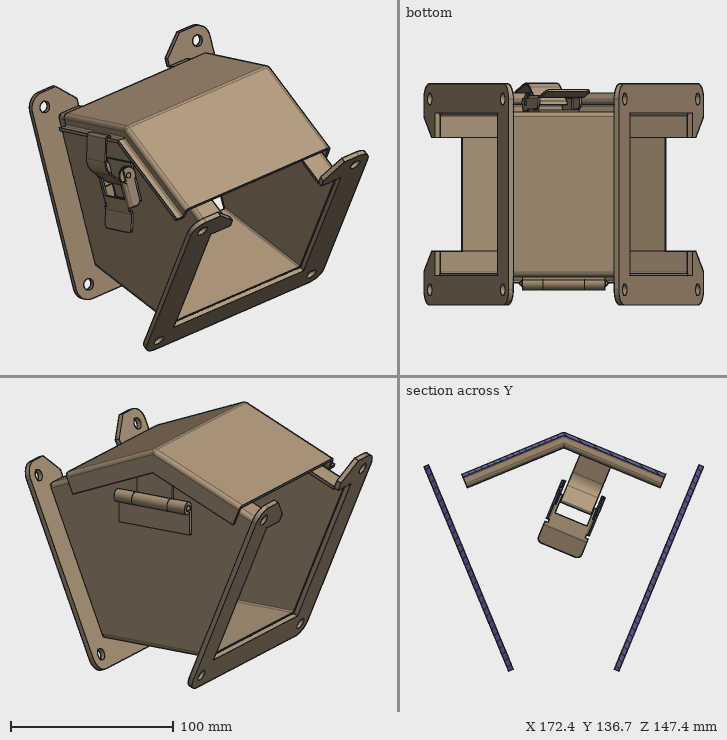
import cadquery as cq
import math


LEG_TILT = 22.5
SIN_TILT = math.sin(math.radians(LEG_TILT))
COS_TILT = math.cos(math.radians(LEG_TILT))
SHEET = 1.9
BEND_INNER = 1.0
BEND_OUTER = BEND_INNER + SHEET
LONG = 200.0

TROUGH_SIZE = 101.6
TROUGH_HALF = TROUGH_SIZE / 2
TROUGH_LIP = 15.875

FLANGE_SIZE = 136.525
FLANGE_HALF = FLANGE_SIZE / 2
FLANGE_THICKNESS = 3.175
FLANGE_OUTER = 65.02
FLANGE_INNER = FLANGE_OUTER - FLANGE_THICKNESS
FLANGE_OPENING_HALF = 50.0
FLANGE_CORNER_RADIUS = 9.525
FLANGE_HOLE_INSET = 9.525
FLANGE_HOLE_DIAMETER = 7.14
FLANGE_TAB_CHAMFER = 12.7
FLANGE_GAP_HALF = TROUGH_HALF - TROUGH_LIP

COVER_TOP = 55.16
COVER_END = 45.3
COVER_LATCH_SIDE = TROUGH_HALF + 6.35
COVER_HINGE_SIDE = TROUGH_HALF + 2 * SHEET
COVER_HINGE_SKIRT_BOTTOM = 41.2
LIP_BOTTOM = 45.85
LIP_SLOPE = math.radians(10)
LIP_REACH = 5.3

HINGE_LENGTH = 50.8
HINGE_KNUCKLE_RADIUS = 4.07
HINGE_LEAF = SHEET
HINGE_AXIS_Y = TROUGH_HALF + HINGE_KNUCKLE_RADIUS
HINGE_AXIS_Z = 26.0
HINGE_PIN_RADIUS = 3.97 / 2
HINGE_PIN_LENGTH = 55.0
HINGE_PIN_CONE = 1.8
HINGE_LEAF_TOP = 46.0
HINGE_LEAF_BOTTOM = 8.0

LATCH_X = -2.0
LEVER_WIDTH = 28.95
LEVER_SHEET = 1.2
LEVER_STANDOFF = 10.2
LEVER_PLATE_TOP = 19.0
LEVER_WALL_BOTTOM = 1.7
LEVER_WALL_STANDOFF = 1.9
LEVER_WALL_CORNER = 3.5
LEVER_BEND = 2.05
LEVER_TAB_TOP = -0.2
LEVER_TAB_BEND = -2.2
LEVER_TAB_BOTTOM = -13.3
LEVER_TAB_CORNER = 3.2
LEVER_TAB_CREASE = 0.2
LEVER_WINDOW_WIDTH = 21.1
LEVER_WINDOW_BOTTOM = 6.95
LATCH_SLOPE = math.radians(18)
PIVOT_STANDOFF = 5.6
PIVOT_Z = 22.0
PIVOT_DIAMETER = 3.17
PIVOT_HOLE_DIAMETER = 3.3
LEVER_EAR_RADIUS = 5.3
BASE_SHEET = 1.2
BASE_TOP = 28.4
BASE_BOTTOM = 3.0
BASE_EAR_RADIUS = PIVOT_STANDOFF
BASE_EAR_BOTTOM = 12.0
STRAP_WIDTH = 20.5
STRAP_SHEET = 0.9
STRAP_BEND_OUTER = 10.0
STRAP_HOOK_BEND = 0.6
STRAP_HOOK_REACH = 3.6
STRAP_LIP_GAP = 0.05
STRAP_APEX_STANDOFF = 17.67
STRAP_APEX_Z = 31.4
STRAP_LOWER_SLOPE = math.radians(40)
STRAP_LOWER_LENGTH = 13.3
STRAP_CURL_SLOPE = math.radians(75)
STRAP_CURL_LENGTH = 2.4
STRAP_CURL_BEND = 0.2


def bent_sheet(plane, path, thickness, inner_radii):
    """Closed outline of a bent sheet: `path` is its left-hand face with sharp corners,
    the other face lies `thickness` to the right, and each inner corner gets a bend."""
    directions = []
    for (x0, y0), (x1, y1) in zip(path, path[1:]):
        length = math.hypot(x1 - x0, y1 - y0)
        directions.append(((x1 - x0) / length, (y1 - y0) / length))

    def right_of(point, direction):
        return (point[0] + thickness * direction[1], point[1] - thickness * direction[0])

    left_arcs = []
    right_arcs = []
    for corner, before, after, inner in zip(path[1:-1], directions, directions[1:], inner_radii):
        turn = math.atan2(before[0] * after[1] - before[1] * after[0],
                          before[0] * after[0] + before[1] * after[1])
        side = math.copysign(1, turn)
        left_radius = inner if side > 0 else inner + thickness
        right_radius = inner + thickness if side > 0 else inner
        setback = left_radius * math.tan(abs(turn) / 2)
        centre = (corner[0] - before[0] * setback - side * before[1] * left_radius,
                  corner[1] - before[1] * setback + side * before[0] * left_radius)
        start_angle = math.atan2(-side * before[0], side * before[1])
        angles = [start_angle, start_angle + turn / 2, start_angle + turn]
        for radius, arcs in ((left_radius, left_arcs), (right_radius, right_arcs)):
            arcs.append([(centre[0] + radius * math.cos(a), centre[1] + radius * math.sin(a))
                         for a in angles])

    outline = cq.Workplane(plane).moveTo(*path[0])
    for start, middle, end in left_arcs:
        outline = outline.lineTo(*start).threePointArc(middle, end)
    outline = outline.lineTo(*path[-1]).lineTo(*right_of(path[-1], directions[-1]))
    for start, middle, end in reversed(right_arcs):
        outline = outline.lineTo(*end).threePointArc(middle, start)
    return outline.lineTo(*right_of(path[0], directions[0])).close()


def on_left_leg(body):
    """Move a body from the leg frame to its place on the left leg."""
    return body.rotate((0, 0, 0), (0, 1, 0), -LEG_TILT)


def leg_point(along, normal):
    """X and Z of a point given in the left leg's frame."""
    return (along * COS_TILT - normal * SIN_TILT, along * SIN_TILT + normal * COS_TILT)


def elbow_prism(inset, overrun, half_width):
    """Five-sided elbow block with its top and floor moved in and its ends moved out."""
    top = TROUGH_HALF - inset
    end_top = leg_point(-FLANGE_INNER - overrun, top)
    floor_z = leg_point(-FLANGE_INNER, -TROUGH_HALF)[1] + inset
    slide = (floor_z - leg_point(-FLANGE_INNER - overrun, 0)[1]) / COS_TILT
    end_floor = leg_point(-FLANGE_INNER - overrun, slide)
    points = [end_floor, end_top, (0, top / COS_TILT),
              (-end_top[0], end_top[1]), (-end_floor[0], end_floor[1])]
    return cq.Workplane("XZ").polyline(points).close().extrude(half_width, both=True)


def round_long_edges(block, radius):
    """Round the edges where the block's sides meet its top and floor."""
    def runs_along_top_or_floor(edge):
        direction = edge.tangentAt(0.5)
        return abs(direction.x) > abs(direction.z) and abs(direction.y) < abs(direction.x)

    edges = [e for e in block.faces("<Y or >Y").edges().vals() if runs_along_top_or_floor(e)]
    return block.newObject(edges).fillet(radius)


def make_trough():
    outside = round_long_edges(elbow_prism(0, 0, TROUGH_HALF), BEND_OUTER)
    cavity = round_long_edges(elbow_prism(SHEET, SHEET, TROUGH_HALF - SHEET), BEND_INNER)
    mouth = cq.Workplane("XY").box(LONG, 2 * FLANGE_GAP_HALF, LONG, centered=(True, True, False))
    return outside.cut(cavity).cut(mouth)


def make_left_flange():
    plate = (
        cq.Workplane("YZ", origin=(-FLANGE_OUTER, 0, 0))
        .rect(FLANGE_SIZE, FLANGE_SIZE)
        .extrude(FLANGE_THICKNESS)
        .edges("|X")
        .fillet(FLANGE_CORNER_RADIUS)
    )
    hole_spacing = FLANGE_SIZE - 2 * FLANGE_HOLE_INSET
    plate = (
        plate.faces("<X").workplane(origin=(-FLANGE_OUTER, 0, 0))
        .rect(hole_spacing, hole_spacing, forConstruction=True)
        .vertices()
        .hole(FLANGE_HOLE_DIAMETER)
    )
    tab_side = FLANGE_HALF - FLANGE_TAB_CHAMFER
    half_opening = [
        (0, -FLANGE_OPENING_HALF),
        (FLANGE_OPENING_HALF, -FLANGE_OPENING_HALF),
        (FLANGE_OPENING_HALF, FLANGE_OPENING_HALF),
        (FLANGE_GAP_HALF, FLANGE_OPENING_HALF),
        (FLANGE_GAP_HALF, tab_side),
        (FLANGE_GAP_HALF + FLANGE_TAB_CHAMFER, FLANGE_HALF),
        (0, FLANGE_HALF),
    ]
    opening = (
        cq.Workplane("YZ", origin=(-FLANGE_OUTER, 0, 0))
        .polyline(half_opening)
        .mirrorY()
        .extrude(FLANGE_THICKNESS)
    )
    return on_left_leg(plate.cut(opening))


LIP_BEND_Y = -COVER_LATCH_SIDE - BEND_INNER
LIP_TIP_Y = -COVER_LATCH_SIDE - LIP_REACH
LIP_CORNER_Y = -COVER_LATCH_SIDE + SHEET
LIP_BEND_Z = LIP_BOTTOM + BEND_OUTER
LIP_CORNER_Z = (LIP_BEND_Z - BEND_OUTER / math.cos(LIP_SLOPE)
                - (LIP_CORNER_Y - LIP_BEND_Y) * math.tan(LIP_SLOPE))
LIP_TIP_Z = LIP_CORNER_Z + (LIP_CORNER_Y - LIP_TIP_Y) * math.tan(LIP_SLOPE)


def make_cover():
    inner_face = [
        (COVER_HINGE_SIDE - SHEET, COVER_HINGE_SKIRT_BOTTOM),
        (COVER_HINGE_SIDE - SHEET, COVER_TOP - SHEET),
        (LIP_CORNER_Y, COVER_TOP - SHEET),
        (LIP_CORNER_Y, LIP_CORNER_Z),
        (LIP_TIP_Y, LIP_TIP_Z),
    ]
    profile = bent_sheet("YZ", inner_face, SHEET, [BEND_INNER] * 3)
    leg = on_left_leg(profile.extrude(LONG / 2, both=True).intersect(
        cq.Workplane("XY").box(LONG, LONG, LONG).translate((LONG / 2 - COVER_END, 0, 0))))
    half = leg.intersect(cq.Workplane("XY").box(LONG, LONG, LONG).translate((-LONG / 2, 0, 0)))
    cover = half.union(half.mirror("YZ"))
    return cover.edges("|Y").edges(">Z").fillet(BEND_OUTER)


def hinge_barrel(radius, length):
    return (
        cq.Workplane("YZ").center(HINGE_AXIS_Y, HINGE_AXIS_Z).circle(radius).extrude(length / 2, both=True)
    )


def hinge_plate(length, bottom, top):
    return (
        cq.Workplane("XY")
        .box(length, HINGE_LEAF, top - bottom, centered=(True, False, False))
        .translate((0, TROUGH_HALF, bottom))
    )


def make_cover_leaf():
    knuckle_length = HINGE_LENGTH / 2
    leaf = hinge_plate(knuckle_length, HINGE_AXIS_Z, HINGE_LEAF_TOP)
    leaf = leaf.union(hinge_barrel(HINGE_KNUCKLE_RADIUS, knuckle_length))
    return leaf.cut(hinge_barrel(HINGE_PIN_RADIUS, LONG))


def make_trough_leaf():
    middle_gap = hinge_barrel(HINGE_KNUCKLE_RADIUS, HINGE_LENGTH / 2).union(
        hinge_plate(HINGE_LENGTH / 2, HINGE_AXIS_Z - HINGE_KNUCKLE_RADIUS, HINGE_AXIS_Z))
    leaf = hinge_plate(HINGE_LENGTH, HINGE_LEAF_BOTTOM, HINGE_AXIS_Z)
    leaf = leaf.union(hinge_barrel(HINGE_KNUCKLE_RADIUS, HINGE_LENGTH))
    return leaf.cut(middle_gap).cut(hinge_barrel(HINGE_PIN_RADIUS, LONG))


def make_hinge_pin():
    return hinge_barrel(HINGE_PIN_RADIUS, HINGE_PIN_LENGTH).faces("<X or >X").chamfer(HINGE_PIN_CONE)


def latch_plane(x):
    """Plane across the latch at x: its own x is the standoff, its own y the leg normal."""
    return cq.Plane(origin=(x, -TROUGH_HALF, 0), xDir=(0, -1, 0), normal=(-1, 0, 0))


def latch_slab(outline, width):
    """Extrude an outline drawn on the latch's middle plane to a width centred on the latch."""
    return outline.extrude(width / 2, both=True)


def latch_block(width, standoff, depth, bottom, top):
    return (
        cq.Workplane("XY")
        .box(width, depth, top - bottom, centered=(True, False, False))
        .translate((LATCH_X, -TROUGH_HALF - standoff - depth, bottom))
    )


def pivot_rod(diameter, width):
    rod = cq.Workplane(latch_plane(LATCH_X)).center(PIVOT_STANDOFF, PIVOT_Z).circle(diameter / 2)
    return latch_slab(rod, width)


def make_latch_base():
    width = LEVER_WIDTH - 2 * LEVER_SHEET
    plate = latch_block(width, 0, BASE_SHEET, BASE_BOTTOM, BASE_TOP)
    ears = pivot_rod(2 * BASE_EAR_RADIUS, width).union(
        latch_block(width, 0, LEVER_STANDOFF, BASE_EAR_BOTTOM, PIVOT_Z))
    ears = ears.cut(latch_block(width, LEVER_STANDOFF - LEVER_BEND, LONG, 0, LEVER_PLATE_TOP))
    ears = ears.cut(latch_block(width - 2 * BASE_SHEET, 0, LONG, 0, LONG))
    stubs = pivot_rod(PIVOT_DIAMETER, LEVER_WIDTH)
    stubs = stubs.cut(latch_block(width - BASE_SHEET, 0, LONG, 0, LONG))
    return on_left_leg(plate.union(ears).union(stubs))


def make_lever():
    channel_depth = LEVER_STANDOFF - LEVER_WALL_STANDOFF
    channel = latch_block(LEVER_WIDTH, LEVER_WALL_STANDOFF, channel_depth, LEVER_WALL_BOTTOM, PIVOT_Z)
    channel = channel.edges("|Z and <Y").fillet(LEVER_BEND)
    channel = channel.edges("|X and >Y and <Z").fillet(LEVER_WALL_CORNER)
    channel = channel.union(pivot_rod(2 * LEVER_EAR_RADIUS, LEVER_WIDTH))
    hollow = latch_block(LEVER_WIDTH - 2 * LEVER_SHEET, -LEVER_STANDOFF, 2 * LEVER_STANDOFF - LEVER_SHEET,
                         -LONG, LONG)
    hollow = hollow.edges("|Z and <Y").fillet(LEVER_BEND - LEVER_SHEET)

    tab_drop = LEVER_TAB_BEND - LEVER_TAB_BOTTOM
    tab_face = [
        (LEVER_STANDOFF, LEVER_WALL_BOTTOM),
        (LEVER_STANDOFF, LEVER_TAB_BEND),
        (LEVER_STANDOFF + tab_drop * math.tan(LATCH_SLOPE), LEVER_TAB_BOTTOM),
    ]
    tab = latch_slab(bent_sheet(latch_plane(LATCH_X), tab_face, LEVER_SHEET, [LEVER_TAB_CREASE]), LEVER_WIDTH)
    tab = tab.faces("<Z").edges("not |X").fillet(LEVER_TAB_CORNER)
    notches = latch_block(LEVER_WIDTH, 0, LONG, LEVER_TAB_TOP, LEVER_WALL_BOTTOM).cut(
        latch_block(LEVER_WIDTH - 2 * LEVER_BEND, 0, LONG, LEVER_TAB_TOP, LEVER_WALL_BOTTOM))

    plate_back = LEVER_STANDOFF - LEVER_BEND
    above_plate = latch_block(LEVER_WIDTH, plate_back, LONG, LEVER_PLATE_TOP, LONG)
    window = latch_block(LEVER_WINDOW_WIDTH, plate_back, LONG, LEVER_WINDOW_BOTTOM, LONG)
    lever = channel.cut(hollow).cut(above_plate).cut(window).union(tab.cut(notches))
    return on_left_leg(lever.cut(pivot_rod(PIVOT_HOLE_DIAMETER, LONG)))


def make_strap():
    centre = (STRAP_APEX_STANDOFF - STRAP_BEND_OUTER, STRAP_APEX_Z)
    upper = (centre[0] + STRAP_BEND_OUTER * math.cos(LATCH_SLOPE),
             centre[1] + STRAP_BEND_OUTER * math.sin(LATCH_SLOPE))
    hook_rise = (SHEET + STRAP_LIP_GAP + STRAP_SHEET) / math.cos(LIP_SLOPE)
    lip_tip = (-LIP_TIP_Y - TROUGH_HALF, LIP_TIP_Z + hook_rise)
    lip_grade = math.tan(LIP_SLOPE)
    upper_grade = math.tan(LATCH_SLOPE)
    hook_w = (upper[0] + (upper[1] - lip_tip[1] + lip_tip[0] * lip_grade) * upper_grade) / (
        1 + lip_grade * upper_grade)
    hook_corner = (hook_w, lip_tip[1] + (hook_w - lip_tip[0]) * lip_grade)
    hook_end = (hook_w - STRAP_HOOK_REACH, hook_corner[1] - STRAP_HOOK_REACH * lip_grade)

    corner_angle = (LATCH_SLOPE - STRAP_LOWER_SLOPE) / 2
    corner_distance = STRAP_BEND_OUTER / math.cos((LATCH_SLOPE + STRAP_LOWER_SLOPE) / 2)
    bend_corner = (centre[0] + corner_distance * math.cos(corner_angle),
                   centre[1] + corner_distance * math.sin(corner_angle))
    lower_run = STRAP_LOWER_LENGTH + STRAP_BEND_OUTER * math.tan((LATCH_SLOPE + STRAP_LOWER_SLOPE) / 2)
    lower_end = (bend_corner[0] - lower_run * math.sin(STRAP_LOWER_SLOPE),
                 bend_corner[1] - lower_run * math.cos(STRAP_LOWER_SLOPE))

    curl_end = (lower_end[0] - STRAP_CURL_LENGTH * math.sin(STRAP_CURL_SLOPE),
                lower_end[1] - STRAP_CURL_LENGTH * math.cos(STRAP_CURL_SLOPE))

    outline = bent_sheet(latch_plane(LATCH_X), [hook_end, hook_corner, bend_corner, lower_end, curl_end],
                         STRAP_SHEET, [STRAP_HOOK_BEND, STRAP_BEND_OUTER - STRAP_SHEET, STRAP_CURL_BEND])
    return on_left_leg(latch_slab(outline, STRAP_WIDTH))


trough = make_trough()
left_flange = make_left_flange()
flanges = [left_flange, left_flange.mirror("YZ")]
cover = make_cover()
cover_leaf = make_cover_leaf()
trough_leaf = make_trough_leaf()
hinge_pin = make_hinge_pin()
latch_base = make_latch_base()
lever = make_lever()
strap = make_strap()

result = cq.Compound.makeCompound([
    trough.solids().val(),
    *[flange.solids().val() for flange in flanges],
    cover.solids().val(),
    cover_leaf.solids().val(),
    trough_leaf.solids().val(),
    hinge_pin.solids().val(),
    latch_base.solids().val(),
    lever.solids().val(),
    strap.solids().val(),
])